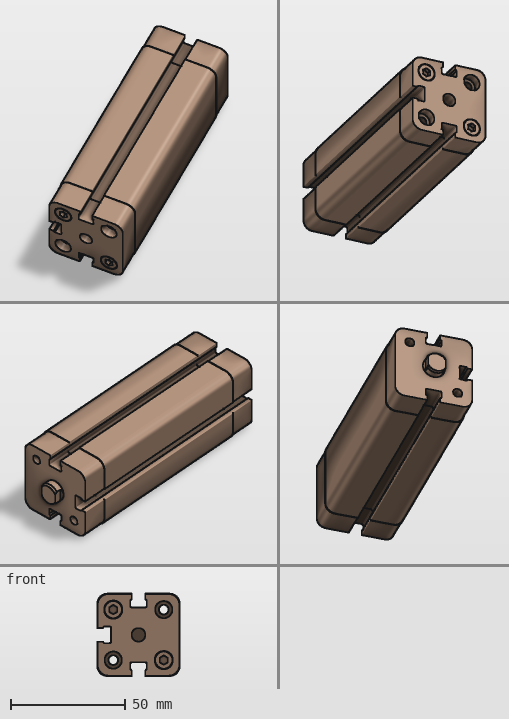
import cadquery as cq
import math

total_length = 112.5
rod_length = 4.5
cap_length = 12.3
front_y = -total_length / 2
rear_y = total_length / 2 - rod_length
housing_length = rear_y - front_y
body_length = housing_length - 2 * cap_length

body_width = 36.1
cap_width = 35.5
corner_center = 13.4
body_corner_radius = body_width / 2 - corner_center
cap_corner_radius = cap_width / 2 - corner_center

slot_opening = 5.8
slot_mouth_radius = 0.2
slot_inner_width = 7.2
body_slot_floor = 12.0
cap_slot_floor = 11.9
slot_shoulder = 15.0
slot_floor_radius = 0.7

bolt_offset = 11.0
through_diameter = 4.2
counterbore_diameter = 7.5
counterbore_depth = 4.5
screw_recess_diameter = 8.0
screw_head_diameter = 7.5
screw_recess_depth = 4.5
hex_socket_flats = 3.5
hex_socket_depth = 2.2

port_diameter = 6.0
port_depth = 9.0

rod_diameter = 10.0
rod_flats = 8.0
rod_flat_length = 3.5
tip_chamfer_length = 1.1
tip_chamfer_inset = 0.5


def cross_section(y):
    """Workplane at the given Y with local axes X and Z; its normal points toward -Y."""
    return cq.Workplane("XZ", origin=(0, y, 0))


def rounded_bar(width, corner_radius, y, length):
    return cross_section(y).rect(width, width).extrude(-length).edges("|Y").fillet(corner_radius)


def slot_cutter(face_width, floor, y, length):
    """T-slot with a rounded mouth for a bar of the given width, opening toward +Z."""
    face = face_width / 2
    neck = slot_opening / 2
    wide = slot_inner_width / 2
    flare_top = slot_shoulder + wide - neck
    mouth = neck + slot_mouth_radius
    round_start = face - slot_mouth_radius
    arc_inset = slot_mouth_radius * (1 - math.sqrt(0.5))
    arc_middle = (neck + arc_inset, face - arc_inset)
    cutter = (
        cross_section(y)
        .moveTo(mouth, face)
        .threePointArc(arc_middle, (neck, round_start))
        .lineTo(neck, flare_top)
        .lineTo(wide, slot_shoulder)
        .lineTo(wide, floor)
        .lineTo(-wide, floor)
        .lineTo(-wide, slot_shoulder)
        .lineTo(-neck, flare_top)
        .lineTo(-neck, round_start)
        .threePointArc((-arc_middle[0], arc_middle[1]), (-mouth, face))
        .close()
        .extrude(-length)
    )
    return cutter.faces("<Z").edges("|Y").fillet(slot_floor_radius)


def front_cylinders(points, diameter, depth):
    return cross_section(front_y).pushPoints(points).circle(diameter / 2).extrude(-depth)


def tie_screws(points):
    """Screw heads with hex sockets, flush with the front face."""
    heads = front_cylinders(points, screw_head_diameter, screw_recess_depth)
    hex_corners = hex_socket_flats / math.cos(math.radians(30))
    for x, z in points:
        socket = (
            cross_section(front_y)
            .polygon(6, hex_corners)
            .extrude(-hex_socket_depth)
            .rotate((0, 0, 0), (0, 1, 0), 30)
            .translate((x, 0, z))
        )
        heads = heads.cut(socket)
    return heads


def piston_rod():
    """Rod end with a chamfered tip and two wrench flats that run out at 45 degrees."""
    radius = rod_diameter / 2
    tip_y = rear_y + rod_length
    rod = (
        cq.Workplane("XY")
        .moveTo(0, rear_y)
        .lineTo(radius, rear_y)
        .lineTo(radius, tip_y - tip_chamfer_length)
        .lineTo(radius - tip_chamfer_inset, tip_y)
        .lineTo(0, tip_y)
        .close()
        .revolve(360, (0, 0, 0), (0, 1, 0))
    )
    half_flats = rod_flats / 2
    runout = rod_length - rod_flat_length
    envelope = (
        cq.Workplane("XY")
        .moveTo(-half_flats - runout, rear_y)
        .lineTo(half_flats + runout, rear_y)
        .lineTo(half_flats, rear_y + runout)
        .lineTo(half_flats, tip_y)
        .lineTo(-half_flats, tip_y)
        .lineTo(-half_flats, rear_y + runout)
        .close()
        .extrude(radius, both=True)
    )
    return rod.intersect(envelope)


def slotted_bar(width, corner_radius, slot_floor, y, length):
    """Rounded bar with slots on the top, left and bottom sides and a plain right side."""
    bar = rounded_bar(width, corner_radius, y, length)
    slot = slot_cutter(width, slot_floor, y, length)
    for angle in (0, -90, 180):
        bar = bar.cut(slot.rotate((0, 0, 0), (0, 1, 0), angle))
    return bar


def end_cap(y):
    return slotted_bar(cap_width, cap_corner_radius, cap_slot_floor, y, cap_length)


body = slotted_bar(body_width, body_corner_radius, body_slot_floor, front_y + cap_length, body_length)
housing = body.union(end_cap(front_y)).union(end_cap(rear_y - cap_length))

mounting_points = [(bolt_offset, bolt_offset), (-bolt_offset, -bolt_offset)]
screw_points = [(-bolt_offset, bolt_offset), (bolt_offset, -bolt_offset)]
housing = housing.cut(front_cylinders(mounting_points, through_diameter, housing_length))
housing = housing.cut(front_cylinders(mounting_points, counterbore_diameter, counterbore_depth))
housing = housing.cut(front_cylinders(screw_points, screw_recess_diameter, screw_recess_depth))
housing = housing.union(tie_screws(screw_points))

housing = housing.cut(front_cylinders([(0, 0)], port_diameter, port_depth))

result = housing.union(piston_rod())